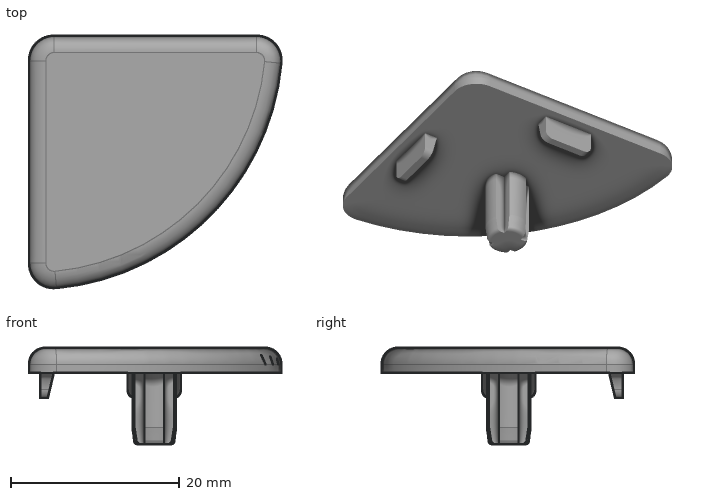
import cadquery as cq
import math

plate_side = 30.03
plate_thickness = 3.0
corner_radius = 3.0
top_fillet = 2.0
arc_center_offset = 0.48

plug_offset = 14.9
plug_radius = 2.6
plug_tip_radius = 2.35
plug_arm_width = 2.35
plug_length = 8.5
plug_straight_length = 6.52
plug_tip_fillet = 0.45

tab_length = 6.37
tab_height = 3.0
tab_inset = 1.32
tab_root_thickness = 1.65
tab_tip_thickness = 0.93
tab_corner_radius = 1.0


def mirror_diagonal(point):
    """Mirror an XY point in the symmetry diagonal y = -x."""
    return (-point[1], -point[0])


def make_plate():
    near = corner_radius
    far = plate_side - corner_radius
    along = far - arc_center_offset
    across = near - arc_center_offset
    center_distance = math.hypot(along, across)
    arc_radius = center_distance + corner_radius
    tangent_scale = arc_radius / center_distance
    arc_end = (
        arc_center_offset + along * tangent_scale,
        -arc_center_offset - across * tangent_scale,
    )
    arc_middle = arc_center_offset + arc_radius * math.sqrt(0.5)
    turn = math.pi / 2 + math.atan2(across, along)
    round_middle = (
        far + corner_radius * math.sin(turn / 2),
        -near + corner_radius * math.cos(turn / 2),
    )
    square_round_middle = corner_radius * (1 - math.sqrt(0.5))
    outline = (
        cq.Workplane("XY")
        .moveTo(near, 0)
        .lineTo(far, 0)
        .threePointArc(round_middle, arc_end)
        .threePointArc((arc_middle, -arc_middle), mirror_diagonal(arc_end))
        .threePointArc(mirror_diagonal(round_middle), (0, -far))
        .lineTo(0, -near)
        .threePointArc((square_round_middle, -square_round_middle), (near, 0))
        .close()
    )
    return outline.extrude(plate_thickness).faces(">Z").edges().fillet(top_fillet)


def make_plug():
    pin = (
        cq.Workplane("XZ")
        .lineTo(plug_radius, 0)
        .lineTo(plug_radius, -plug_straight_length)
        .lineTo(plug_tip_radius, -plug_length)
        .lineTo(0, -plug_length)
        .close()
        .revolve(360, (0, 0), (0, 1))
        .faces("<Z")
        .edges()
        .fillet(plug_tip_fillet)
    )
    bar = cq.Workplane("XY").rect(2 * plug_radius, plug_arm_width).extrude(-plug_length)
    cross = bar.union(bar.rotate((0, 0, 0), (0, 0, 1), 90))
    return pin.intersect(cross).translate((plug_offset, -plug_offset, 0))


def make_left_tab():
    return (
        cq.Workplane("XZ", origin=(tab_inset, -plug_offset, 0))
        .lineTo(tab_root_thickness, 0)
        .lineTo(tab_tip_thickness, -tab_height)
        .lineTo(0, -tab_height)
        .close()
        .extrude(tab_length / 2, both=True)
        .faces("<Z")
        .edges("|X")
        .fillet(tab_corner_radius)
    )


left_tab = make_left_tab()
top_tab = left_tab.rotate(
    (plug_offset, -plug_offset, 0), (plug_offset, -plug_offset, 1), -90
)

result = make_plate().union(make_plug()).union(left_tab).union(top_tab)